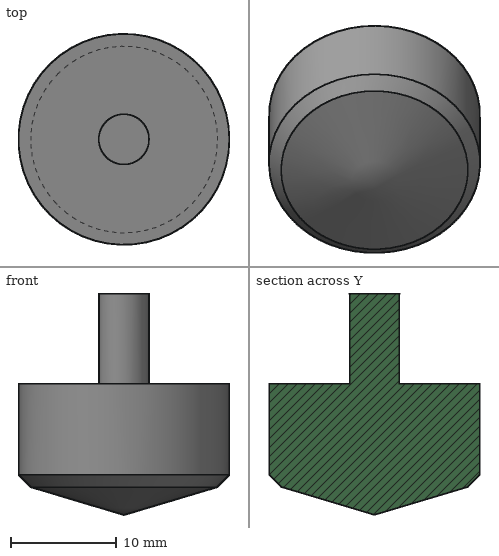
import cadquery as cq

total_height = 21.1
body_diameter = 20.1
pin_diameter = 4.8
pin_length = 8.59
chamfer = 1.15
cone_height = 2.65

body_radius = body_diameter / 2
pin_radius = pin_diameter / 2
cone_radius = body_radius - chamfer

chamfer_top = cone_height + chamfer
body_top = total_height - pin_length

profile = (
    cq.Workplane("XZ")
    .moveTo(0, 0)
    .lineTo(cone_radius, cone_height)
    .lineTo(body_radius, chamfer_top)
    .lineTo(body_radius, body_top)
    .lineTo(pin_radius, body_top)
    .lineTo(pin_radius, total_height)
    .lineTo(0, total_height)
    .close()
)

result = profile.revolve(360, (0, 0, 0), (0, 1, 0))